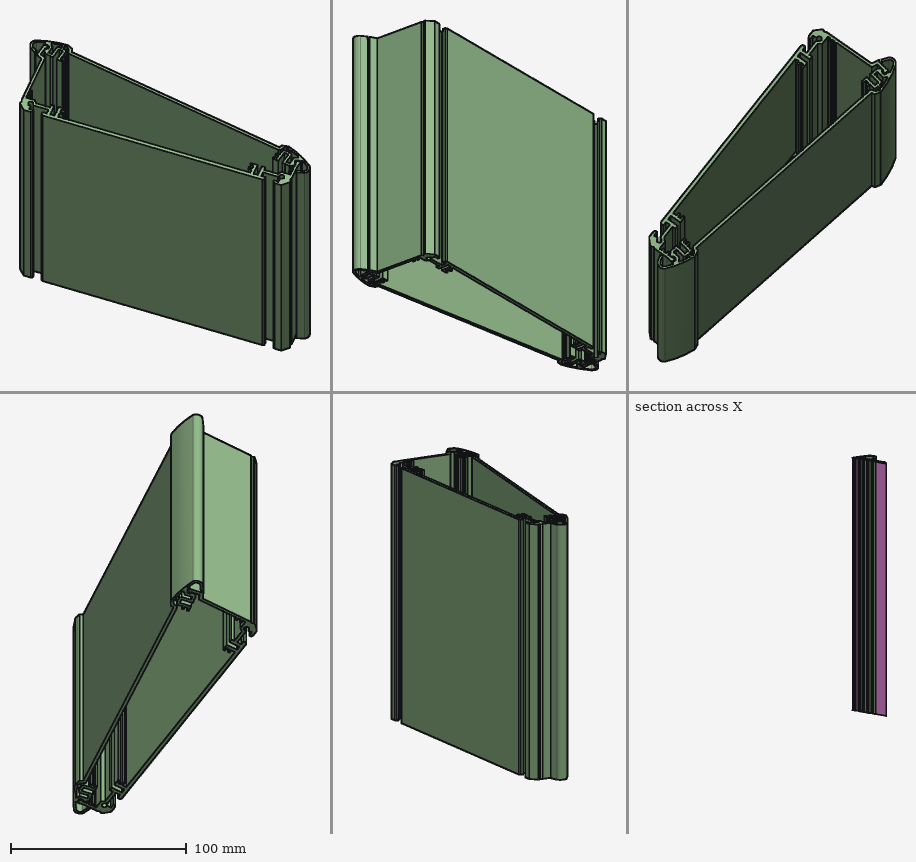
import cadquery as cq
import math

WIDTH = 181.1
HEIGHT = 150.0
TOOTH_PITCH = 3.0
TOOTH_THICKNESS = 1.3
TOOTH_LENGTH = 2.0
RIB_THICKNESS = 2.2
SCREW_SLOT_WIDTH = 2.5

PLATE_HALF_WIDTH = 67.7
PLATE_THICKNESS = 2.4
SHELF_TOP = 9.0
RIB_OUTER_FACE = 65.2
WEB_BOTTOM = 5.0
WEB_TOP = 7.0
WEB_LOWER_END = 74.3
WEB_UPPER_END = 73.4
BLOCK_TOP_START = 75.0
WALL_OUTER_FACE = 82.0
WALL_THICKNESS = 1.8
FOOT_TIP = 73.0
FOOT_ROOT = 75.7
FOOT_THICKNESS = 1.8
CORNER_CHAMFER = 3.8
EDGE_CHAMFER_WIDTH = 1.0
EDGE_CHAMFER_DEPTH = 0.5
BORE_X = 76.3
BORE_Y = 5.8
BORE_RADIUS = 1.5
GROOVE_WIDTH = 2.2
GROOVE_DEPTH = 0.5
GROOVE_Y = 5.6
WALL_TOOTH_LENGTH = 1.5
WALL_TOOTH_BOTTOM = 10.7
WALL_EMBEDDING = 1.8
FLARE_INNER_Y = 40.2
FLARE_OUTER_Y = 38.5

LID_TILT = 10.0
LID_CENTER_X = -1.0
LID_CENTER_Y = 32.0
LID_PLATE_MIDDLE = 4.5
LID_PLATE_THICKNESS = 2.0
LID_PLATE_BOTTOM = LID_PLATE_MIDDLE - LID_PLATE_THICKNESS / 2
LID_PLATE_TOP = LID_PLATE_MIDDLE + LID_PLATE_THICKNESS / 2
LID_PLATE_HALF_WIDTH = 67.0
NOSE_RADIUS = 3.8
NOSE_WALL = 1.5
NOSE_HALF_ANGLE = 53.0
NOSE_CENTER_U = (WIDTH / 2 - NOSE_RADIUS) / math.cos(math.radians(LID_TILT))
NOSE_CENTER_V = -0.5
LEG_BOTTOM = -3.5
LEG_THICKNESS = 1.8
INNER_LEG_FACE = 71.4
BRACKET_TOP = 5.0
BRACKET_CHAMFER = 0.9
BRIDGE_THICKNESS = 1.6
HANGER_LEFT = 73.9
HANGER_WIDTH = 1.3
HANGER_TOP = 7.6
HOOK_FLOOR_TOP = -1.6
HOOK_FLOOR_BOTTOM = -3.3
HOOK_LEG_FACE = 79.7
STEM_INNER = 82.8
STEM_OUTER = 84.8
STEM_TOP = 2.2
CATCH_INNER = 82.2
CATCH_BOTTOM = 0.4
CATCH_BEVEL = 0.5


def prism(outline):
    """Extrude a closed straight-sided outline over the full height."""
    return cq.Workplane("XY").polyline(outline).close().extrude(HEIGHT)


def bar(x_min, x_max, y_min, y_max):
    """Extrude a rectangle over the full height."""
    return cq.Workplane("XY").rect(x_max - x_min, y_max - y_min).extrude(HEIGHT).translate(
        ((x_min + x_max) / 2, (y_min + y_max) / 2, 0)
    )


def join(pieces):
    """Fuse the pieces of one body."""
    body = pieces[0]
    for piece in pieces[1:]:
        body = body.union(piece)
    return body.clean()


def tooth_pair(root_x, length, lowest_y):
    """Two teeth reaching from root_x towards the middle of the part."""
    return [
        bar(root_x - length, root_x, y, y + TOOTH_THICKNESS)
        for y in (lowest_y, lowest_y + TOOTH_PITCH)
    ]


def both_sides(pieces):
    """The pieces together with their mirror images about X = 0."""
    return pieces + [piece.mirror("YZ") for piece in pieces]


def from_lid_frame(u, v):
    """Position in the base frame of a point given in the tilted lid frame."""
    tilt = math.radians(LID_TILT)
    return (
        LID_CENTER_X + u * math.cos(tilt) + v * math.sin(tilt),
        LID_CENTER_Y - u * math.sin(tilt) + v * math.cos(tilt),
    )


def wall_bend(u, x):
    """Point where a line square to the lid at u meets the upright wall face at x."""
    tilt = math.radians(LID_TILT)
    v = (x - LID_CENTER_X - u * math.cos(tilt)) / math.sin(tilt)
    return from_lid_frame(u, v)


def base_plate():
    """Bottom plate with its two lower edges chamfered."""
    flat_half_width = PLATE_HALF_WIDTH - EDGE_CHAMFER_WIDTH
    return prism([
        (-flat_half_width, 0),
        (flat_half_width, 0),
        (PLATE_HALF_WIDTH, EDGE_CHAMFER_DEPTH),
        (PLATE_HALF_WIDTH, PLATE_THICKNESS),
        (-PLATE_HALF_WIDTH, PLATE_THICKNESS),
        (-PLATE_HALF_WIDTH, EDGE_CHAMFER_DEPTH),
    ])


def base_ribs():
    """Two ribs beside a screw slot, with teeth on the inner one."""
    outer_rib_left = RIB_OUTER_FACE - RIB_THICKNESS
    inner_rib_right = outer_rib_left - SCREW_SLOT_WIDTH
    inner_rib_left = inner_rib_right - RIB_THICKNESS
    lower_tooth = SHELF_TOP - TOOTH_THICKNESS - TOOTH_PITCH
    return [
        bar(outer_rib_left, RIB_OUTER_FACE, 0, SHELF_TOP),
        bar(inner_rib_left, inner_rib_right, 0, SHELF_TOP),
        *tooth_pair(inner_rib_left, TOOTH_LENGTH, lower_tooth),
    ]


def base_corner():
    """Web, bored corner block and foot as one outline, with the teeth on the wall above."""
    wall_inner_face = WALL_OUTER_FACE - WALL_THICKNESS
    block = prism([
        (RIB_OUTER_FACE, WEB_BOTTOM),
        (WEB_LOWER_END, WEB_BOTTOM),
        (BORE_X - BORE_RADIUS, BORE_Y),
        (BORE_X, BORE_Y),
        (FOOT_ROOT, BORE_Y - BORE_RADIUS),
        (FOOT_ROOT, FOOT_THICKNESS),
        (FOOT_TIP, FOOT_THICKNESS),
        (FOOT_TIP, EDGE_CHAMFER_DEPTH),
        (FOOT_TIP + EDGE_CHAMFER_WIDTH, 0),
        (WALL_OUTER_FACE - CORNER_CHAMFER, 0),
        (WALL_OUTER_FACE, CORNER_CHAMFER),
        (WALL_OUTER_FACE, GROOVE_Y - GROOVE_WIDTH / 2),
        (WALL_OUTER_FACE - GROOVE_DEPTH, GROOVE_Y),
        (WALL_OUTER_FACE, GROOVE_Y + GROOVE_WIDTH / 2),
        (WALL_OUTER_FACE, SHELF_TOP),
        (BLOCK_TOP_START, SHELF_TOP),
        (WEB_UPPER_END, WEB_TOP),
        (RIB_OUTER_FACE, WEB_TOP),
    ])
    bore = cq.Workplane("XY").center(BORE_X, BORE_Y).circle(BORE_RADIUS).extrude(HEIGHT)
    return [
        block.cut(bore),
        *tooth_pair(wall_inner_face, WALL_TOOTH_LENGTH, WALL_TOOTH_BOTTOM),
    ]


def left_wall():
    """Tall wall, flared outwards at the top and ending in a tongue square to the lid."""
    inner = WALL_THICKNESS - WALL_OUTER_FACE
    foot = SHELF_TOP - WALL_EMBEDDING
    return prism([
        (-WALL_OUTER_FACE, foot),
        (inner, foot),
        (inner, FLARE_INNER_Y),
        from_lid_frame(-STEM_INNER, -4.9),
        from_lid_frame(-STEM_INNER, 0),
        from_lid_frame(-CATCH_INNER, CATCH_BOTTOM),
        from_lid_frame(-CATCH_INNER, STEM_TOP - CATCH_BEVEL),
        from_lid_frame(-STEM_INNER, STEM_TOP),
        from_lid_frame(-STEM_OUTER, STEM_TOP),
        from_lid_frame(-STEM_OUTER, -5.3),
        from_lid_frame(-85.5, -6.2),
        (-WALL_OUTER_FACE, FLARE_OUTER_Y),
    ])


def right_wall():
    """Short wall, leaning outwards at the top to stand square to the lid."""
    inner = WALL_OUTER_FACE - WALL_THICKNESS
    foot = SHELF_TOP - WALL_EMBEDDING
    return prism([
        (inner, foot),
        (WALL_OUTER_FACE, foot),
        wall_bend(STEM_OUTER, WALL_OUTER_FACE),
        from_lid_frame(STEM_OUTER, STEM_TOP),
        from_lid_frame(STEM_INNER, STEM_TOP),
        from_lid_frame(CATCH_INNER, STEM_TOP - CATCH_BEVEL),
        from_lid_frame(CATCH_INNER, CATCH_BOTTOM),
        from_lid_frame(STEM_INNER, 0),
        wall_bend(STEM_INNER, inner),
    ])


def make_base():
    """Open-topped base with two walls of different height."""
    sides = both_sides(base_ribs() + base_corner())
    return join([base_plate(), *sides, left_wall(), right_wall()])


def nose_point(radius, angle):
    """Point on a circle about the nose centre, at an angle in degrees above the nose tip."""
    return (
        NOSE_CENTER_U + radius * math.cos(math.radians(angle)),
        NOSE_CENTER_V + radius * math.sin(math.radians(angle)),
    )


def lid_shell():
    """Stepped edge of the lid, its arched top and the nose curling back below."""
    inner_radius = NOSE_RADIUS - NOSE_WALL
    return (
        cq.Workplane("XY")
        .moveTo(LID_PLATE_HALF_WIDTH, LID_PLATE_TOP)
        .lineTo(68.7, LID_PLATE_TOP)
        .lineTo(69.2, 7.5)
        .lineTo(71.7, 8.3)
        .lineTo(72.8, 8.7)
        .threePointArc((81.9, 6.3), nose_point(NOSE_RADIUS, NOSE_HALF_ANGLE))
        .threePointArc(nose_point(NOSE_RADIUS, 0), nose_point(NOSE_RADIUS, -NOSE_HALF_ANGLE))
        .lineTo(86.4, -5.6)
        .lineTo(85.9, -4.2)
        .lineTo(*nose_point(inner_radius, -NOSE_HALF_ANGLE))
        .threePointArc(nose_point(inner_radius, 0), nose_point(inner_radius, NOSE_HALF_ANGLE))
        .threePointArc((81.3, 5.0), (72.6, 7.2))
        .lineTo(71.0, 6.3)
        .lineTo(70.1, 4.2)
        .lineTo(69.2, LID_PLATE_BOTTOM)
        .lineTo(LID_PLATE_HALF_WIDTH, LID_PLATE_BOTTOM)
        .close()
        .extrude(HEIGHT)
    )


def lid_bracket():
    """Inverted U hung under the arch; its slot takes a screw and its inner leg has teeth."""
    inner_leg_right = INNER_LEG_FACE + LEG_THICKNESS
    outer_leg_left = inner_leg_right + SCREW_SLOT_WIDTH
    outer_leg_right = outer_leg_left + LEG_THICKNESS
    block = bar(INNER_LEG_FACE, outer_leg_right, LEG_BOTTOM, BRACKET_TOP)
    block = block.faces(">Y").edges("|Z").chamfer(BRACKET_CHAMFER)
    slot = bar(inner_leg_right, outer_leg_left, LEG_BOTTOM, BRACKET_TOP - BRIDGE_THICKNESS)
    return [
        block.cut(slot),
        bar(HANGER_LEFT, HANGER_LEFT + HANGER_WIDTH, BRACKET_TOP, HANGER_TOP),
        bar(outer_leg_left, HOOK_LEG_FACE, HOOK_FLOOR_BOTTOM, HOOK_FLOOR_TOP),
        *tooth_pair(INNER_LEG_FACE, TOOTH_LENGTH, LEG_BOTTOM),
    ]


def lid_hook():
    """Leg under the arch whose barb bears against the tongue of the wall."""
    return prism([
        (81.5, 5.8),
        (81.5, 4.3),
        (HOOK_LEG_FACE, 3.0),
        (HOOK_LEG_FACE, HOOK_FLOOR_BOTTOM),
        (80.5, HOOK_FLOOR_BOTTOM),
        (81.9, -2.4),
        (STEM_INNER, -1.0),
        (81.5, 0.7),
        (81.5, 2.2),
        (82.5, 2.7),
        (84.2, 2.7),
        (85.1, 4.0),
    ])


def make_lid():
    """Symmetric lid, built level and then tilted down towards the short wall."""
    plate = bar(-LID_PLATE_HALF_WIDTH, LID_PLATE_HALF_WIDTH, LID_PLATE_BOTTOM, LID_PLATE_TOP)
    flat_lid = join([plate, *both_sides([lid_shell(), *lid_bracket(), lid_hook()])])
    tilted = flat_lid.rotate((0, 0, 0), (0, 0, 1), -LID_TILT)
    return tilted.translate((LID_CENTER_X, LID_CENTER_Y, 0))


base = make_base()
lid = make_lid()
result = cq.Compound.makeCompound([base.val(), lid.val()])